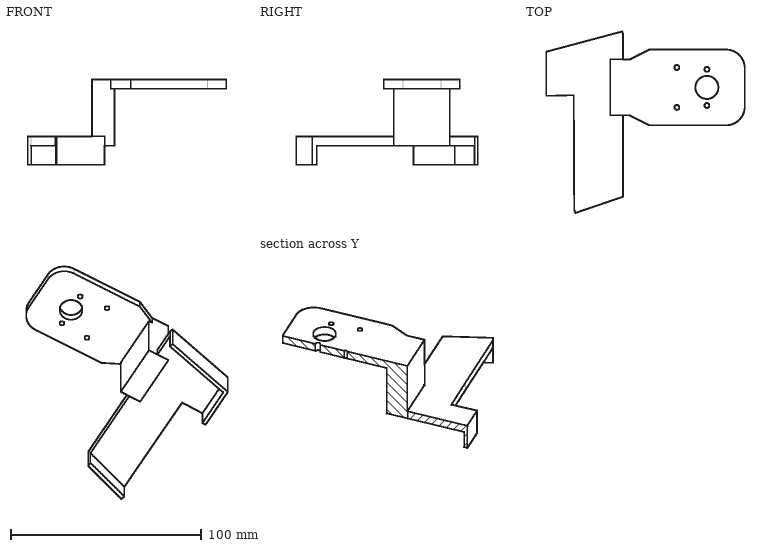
import cadquery as cq
import math


frame_width = 40.55
frame_length = 95.58
frame_height = 15.0
plate_thickness = 5.0
flange_drop = frame_height - plate_thickness
flange_thickness = 2.0
front_flange_thickness = 2.25

back_left_y = 18.8
back_tip = (40.0, 29.5)
back_clip_y = 27.95

left_end_y = -4.45
left_end_x = 1.7
step_corner = (14.45, -4.15)
stem_bend = (14.6, -24.1)

front_clip = (14.7, -64.15)
front_tip = (15.4, back_tip[1] - frame_length)
front_right_y = -57.5

bracket_left = 33.85
bracket_right = 104.57
bracket_top = 45.0
column_depth = 11.9
column_width = 29.5
column_bottom = flange_drop

arm_width = 40.0
arm_thickness = 5.0
neck_end = bracket_left + 10.0
shoulder_x = 54.35
arm_corner_radius = 10.0

shaft_hole_diameter = 12.0
shaft_hole_x = bracket_right - 20.0
screw_hole_diameter = 2.5
near_screw_x = 68.75
near_screw_spacing = 21.0
far_screw_spacing = 19.0


def prism(points, bottom, top):
    """Upright prism over a closed polygon."""
    return cq.Workplane("XY").workplane(offset=bottom).polyline(points).close().extrude(top - bottom)


def column_block():
    """Upright column, flush with the underside of the plate."""
    height = bracket_top - column_bottom
    return (
        cq.Workplane("XY")
        .box(column_depth, column_width, height, centered=(False, True, False))
        .translate((bracket_left, 0, column_bottom))
    )


def plate():
    return prism(
        [
            (0, left_end_y),
            (0, back_left_y),
            back_tip,
            (frame_width, back_clip_y),
            (frame_width, front_right_y),
            front_tip,
            front_clip,
            stem_bend,
            step_corner,
            (left_end_x, left_end_y),
        ],
        flange_drop,
        frame_height,
    )


def left_flange():
    return prism(
        [
            (0, left_end_y),
            (flange_thickness, left_end_y),
            (flange_thickness, back_left_y),
            (0, back_left_y),
        ],
        0,
        flange_drop,
    )


def back_flange():
    slope = (back_tip[1] - back_left_y) / back_tip[0]
    offset_y = flange_thickness * math.hypot(1, slope)
    inner_left_y = back_left_y - offset_y
    return prism(
        [
            (0, back_left_y),
            back_tip,
            (frame_width, back_clip_y),
            (frame_width, inner_left_y + slope * frame_width),
            (0, inner_left_y),
        ],
        0,
        flange_drop,
    )


def front_flange():
    slope = (front_right_y - front_tip[1]) / (frame_width - front_tip[0])
    offset_y = front_flange_thickness * math.hypot(1, slope)
    inner_right_y = front_right_y + offset_y
    inner_left_y = inner_right_y - slope * (frame_width - front_clip[0])
    return prism(
        [
            front_clip,
            front_tip,
            (frame_width, front_right_y),
            (frame_width, inner_right_y),
            (front_clip[0], inner_left_y),
        ],
        0,
        flange_drop,
    )


def make_frame():
    """Plate and flanges, notched in the right edge where the column sits."""
    body = plate()
    for flange in (left_flange(), back_flange(), front_flange()):
        body = body.union(flange)
    return body.cut(column_block())


def make_arm():
    half_column = column_width / 2
    half_arm = arm_width / 2
    blank = prism(
        [
            (bracket_left, -half_column),
            (neck_end, -half_column),
            (shoulder_x, -half_arm),
            (bracket_right, -half_arm),
            (bracket_right, half_arm),
            (shoulder_x, half_arm),
            (neck_end, half_column),
            (bracket_left, half_column),
        ],
        bracket_top - arm_thickness,
        bracket_top,
    )
    return blank.edges("|Z and >X").fillet(arm_corner_radius)


def drill(body, centers, diameter):
    """Drill straight through the arm from its top face."""
    cutter = (
        cq.Workplane("XY")
        .workplane(offset=bracket_top)
        .pushPoints(centers)
        .circle(diameter / 2)
        .extrude(-arm_thickness)
    )
    return body.cut(cutter)


def make_bracket():
    screw_centers = [
        (x, side * spacing / 2)
        for x, spacing in ((near_screw_x, near_screw_spacing), (shaft_hole_x, far_screw_spacing))
        for side in (-1, 1)
    ]
    body = column_block().union(make_arm())
    body = drill(body, [(shaft_hole_x, 0)], shaft_hole_diameter)
    return drill(body, screw_centers, screw_hole_diameter)


frame = make_frame()
bracket = make_bracket()

result = cq.Compound.makeCompound([frame.solids().val(), bracket.solids().val()])